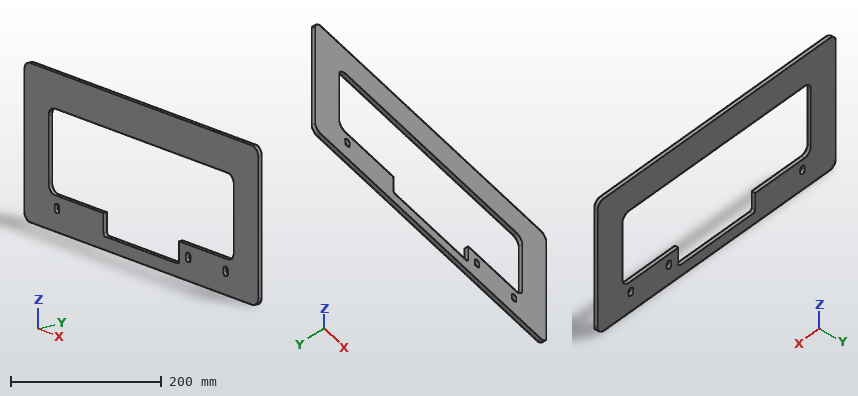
import cadquery as cq

plate_length = 482.5
plate_height = 222.5
plate_thickness = 6.5
plate_corner_radius = 12.5

window_length = 381.3
window_height = 120.5
window_corner_radius = 12.5

notch_width = 155.5
notch_depth = 32.0
notch_corner_radius = 4.5

slot_width = 9.5
slot_height = 13.0
slot_z = -78.0
outer_slot_x = 173.5
inner_slot_x = 96.5
slot_positions = [(x, slot_z) for x in (-outer_slot_x, inner_slot_x, outer_slot_x)]


def rounded_block(length, height, radius):
    """Plate-thick block centred on the origin, with its four corners rounded."""
    return cq.Workplane("XZ").box(length, height, plate_thickness).edges("|Y").fillet(radius)


def notch_cutter():
    """Block from the window's centre line to the notch floor, rounded at the floor."""
    height = window_height / 2 + notch_depth
    return (
        cq.Workplane("XZ")
        .center(0, -height / 2)
        .box(notch_width, height, plate_thickness)
        .faces("<Z")
        .edges("|Y")
        .fillet(notch_corner_radius)
    )


def slot_cutters():
    """Round-ended slots that pass through the plate."""
    return (
        cq.Workplane("XZ")
        .pushPoints(slot_positions)
        .slot2D(slot_height, slot_width, angle=90)
        .extrude(plate_thickness / 2, both=True)
    )


plate = rounded_block(plate_length, plate_height, plate_corner_radius)
window = rounded_block(window_length, window_height, window_corner_radius)
result = plate.cut(window).cut(notch_cutter()).cut(slot_cutters())